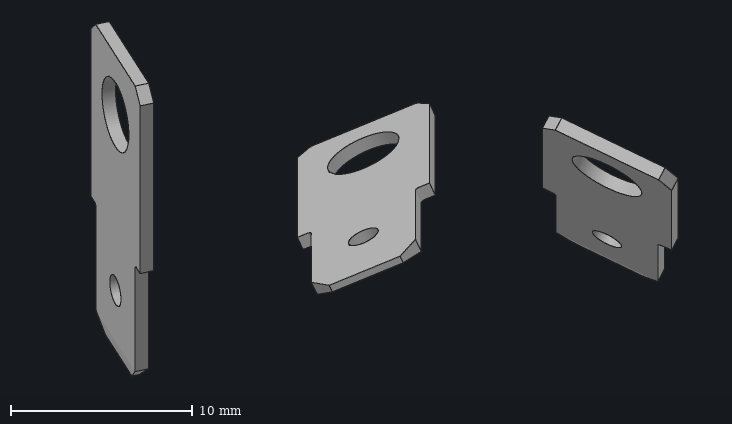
import cadquery as cq

height = 20.2
body_width = 8.0
thickness = 0.8

tab_width = 6.3
shoulder_height = 8.15
relief_radius = 0.25

top_chamfer = 0.8
tip_chamfer = 1.0
tip_thickness = 0.45

large_hole_diameter = 4.3
large_hole_height = height - body_width / 2
small_hole_diameter = 1.8
small_hole_height = 4.4

half_body = body_width / 2
half_tab = tab_width / 2


def make_blade():
    """Stepped flat plate with chamfered ends and rounded shoulder corners."""
    right_edge = [
        (half_tab - tip_chamfer, 0),
        (half_tab, tip_chamfer),
        (half_tab, shoulder_height),
        (half_body, shoulder_height),
        (half_body, height - top_chamfer),
        (half_body - top_chamfer, height),
    ]
    left_edge = [(-x, z) for x, z in reversed(right_edge)]
    blade = (
        cq.Workplane("XZ")
        .polyline(right_edge + left_edge)
        .close()
        .extrude(thickness / 2, both=True)
    )
    shoulder_corners = cq.selectors.BoxSelector(
        (-half_tab - relief_radius, -thickness, shoulder_height - relief_radius),
        (half_tab + relief_radius, thickness, shoulder_height + relief_radius),
    )
    return blade.edges("|Y").edges(shoulder_corners).fillet(relief_radius)


def make_tip_cutter(side):
    """Wedge that thins the tip from the face on the given side of Y."""
    return (
        cq.Workplane("YZ")
        .polyline([
            (side * tip_thickness / 2, 0),
            (side * thickness / 2, tip_chamfer),
            (side * thickness / 2, 0),
        ])
        .close()
        .extrude(half_body, both=True)
    )


def make_hole(diameter, center_height):
    """Round cutter running through the thickness."""
    return (
        cq.Workplane("XZ", origin=(0, thickness, center_height))
        .circle(diameter / 2)
        .extrude(2 * thickness)
    )


result = make_blade()
for side in (-1, 1):
    result = result.cut(make_tip_cutter(side))
result = result.cut(make_hole(large_hole_diameter, large_hole_height))
result = result.cut(make_hole(small_hole_diameter, small_hole_height))